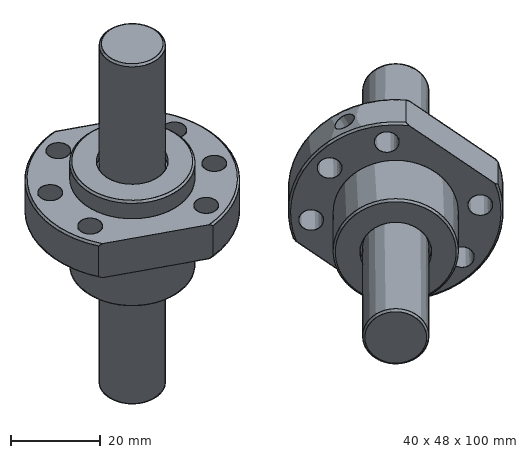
import cadquery as cq
import math

shaft_length = 100
shaft_diameter = 14.8
shaft_chamfer = 0.5

nut_length = 31
nut_diameter = 28
nut_chamfer = 0.5
recess_diameter = 16
recess_depth = 2

flange_diameter = 48
flange_width = 40
flange_thickness = 10
flange_setback = 5
flange_chamfer = 0.5

bolt_circle_radius = 19
bolt_hole_diameter = 5.5
bolt_spacing_angle = 45

oil_hole_diameter = 4.9
oil_hole_angle = 90 + bolt_spacing_angle / 2
oil_hole_inner_radius = recess_diameter / 2

nut_top = nut_length / 2
nut_bottom = -nut_length / 2
flange_top = nut_top - flange_setback
flange_bottom = flange_top - flange_thickness


def cylinder(diameter, bottom, height):
    return cq.Workplane("XY").workplane(offset=bottom).circle(diameter / 2).extrude(height)


def chamfered_cylinder(diameter, bottom, height, chamfer):
    return cylinder(diameter, bottom, height).edges("%CIRCLE").chamfer(chamfer)


def make_flange():
    disc = chamfered_cylinder(flange_diameter, flange_bottom, flange_thickness, flange_chamfer)
    middle = (flange_top + flange_bottom) / 2
    flats = cq.Workplane("XY").box(flange_width, flange_diameter, flange_thickness)
    return disc.intersect(flats.translate((0, 0, middle)))


def make_bolt_holes():
    points = []
    for group_angle in (90, -90):
        for step in (-1, 0, 1):
            angle = math.radians(group_angle + step * bolt_spacing_angle)
            points.append((bolt_circle_radius * math.cos(angle), bolt_circle_radius * math.sin(angle)))
    plane = cq.Workplane("XY").workplane(offset=flange_bottom)
    return plane.pushPoints(points).circle(bolt_hole_diameter / 2).extrude(flange_thickness)


def make_oil_hole():
    middle = (flange_top + flange_bottom) / 2
    hole = (
        cq.Workplane("YZ")
        .workplane(offset=oil_hole_inner_radius)
        .center(0, middle)
        .circle(oil_hole_diameter / 2)
        .extrude(flange_diameter / 2 - oil_hole_inner_radius)
    )
    return hole.rotate((0, 0, 0), (0, 0, 1), oil_hole_angle)


nut = chamfered_cylinder(nut_diameter, nut_bottom, nut_length, nut_chamfer).union(make_flange())
nut = nut.cut(make_bolt_holes()).cut(make_oil_hole())
for recess_bottom in (nut_bottom, nut_top - recess_depth):
    nut = nut.cut(cylinder(recess_diameter, recess_bottom, recess_depth))

shaft = chamfered_cylinder(shaft_diameter, -shaft_length / 2, shaft_length, shaft_chamfer)
result = nut.union(shaft)